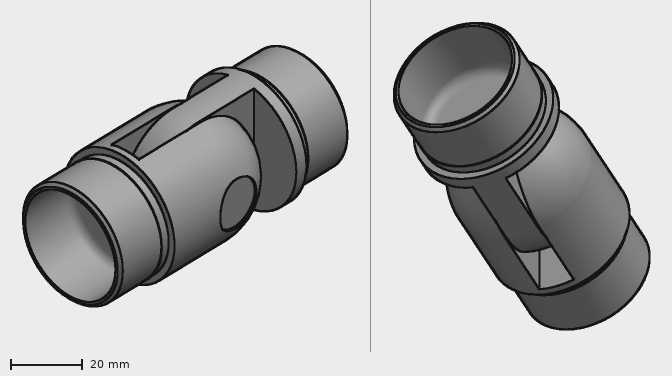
import cadquery as cq

TOTAL_LENGTH = 93.6
BODY_DIA = 42.4
SPIGOT_DIA = 38.3
RELIEF_DIA = 37.9
RELIEF_WIDTH = 3.0
SHOULDER_Y = 26.9
RIM_CHAMFER = 1.0

CUP_DIA = 34.5
CUP_DEPTH = 19.8
CUP_FILLET = 3.0

COLLAR_THICKNESS = 4.1
TONGUE_WIDTH = 9.9
SLOT_WIDTH = 10.5
SLOT_FLOOR_Y = 24.4

SPOTFACE_DIA = 16.5
SPOTFACE_DEPTH = 2.3

END_Y = TOTAL_LENGTH / 2
BODY_RADIUS = BODY_DIA / 2


def cylinder_along_y(diameter, y_start, y_end):
    """Solid cylinder on the Y axis between two Y positions, y_start < y_end."""
    return cq.Workplane("XZ", origin=(0, y_start, 0)).circle(diameter / 2).extrude(y_start - y_end)


def tube_spigot():
    """Cupped spigot on the +Y end, from the shoulder to the chamfered rim."""
    relief = cylinder_along_y(RELIEF_DIA, SHOULDER_Y, SHOULDER_Y + RELIEF_WIDTH)
    sleeve = (
        cylinder_along_y(SPIGOT_DIA, SHOULDER_Y + RELIEF_WIDTH, END_Y)
        .faces(">Y")
        .chamfer(RIM_CHAMFER)
    )
    return relief.union(sleeve)


def tube_cup():
    """Blind bore of the +Y spigot, with a rounded floor corner."""
    return cylinder_along_y(CUP_DIA, END_Y - CUP_DEPTH, END_Y).faces("<Y").edges().fillet(CUP_FILLET)


def mirrored_to_minus_y(shape):
    return shape.mirror("XZ")


def hinge_ball():
    return cq.Workplane("XY").sphere(BODY_RADIUS)


def make_fork():
    """Lower half: ball-nosed knuckle, slotted for the tongue, with a spigot on the -Y end."""
    slot_length = SLOT_FLOOR_Y + BODY_DIA
    slot = cq.Workplane("XY").box(SLOT_WIDTH, slot_length, BODY_DIA).translate(
        (0, slot_length / 2 - SLOT_FLOOR_Y, 0)
    )
    spotface = (
        cq.Workplane("YZ", origin=(BODY_RADIUS - SPOTFACE_DEPTH, 0, 0))
        .circle(SPOTFACE_DIA / 2)
        .extrude(BODY_RADIUS)
    )
    return (
        cylinder_along_y(BODY_DIA, -SHOULDER_Y, 0)
        .union(hinge_ball())
        .cut(slot)
        .cut(spotface)
        .union(mirrored_to_minus_y(tube_spigot()))
        .cut(mirrored_to_minus_y(tube_cup()))
    )


def make_tongue():
    """Upper half: collar with a ball-ended flat tongue, and a spigot on the +Y end."""
    collar = cylinder_along_y(BODY_DIA, SHOULDER_Y - COLLAR_THICKNESS, SHOULDER_Y)
    blade_slab = cq.Workplane("XY").box(TONGUE_WIDTH, TOTAL_LENGTH, BODY_DIA)
    blade = cylinder_along_y(BODY_DIA, 0, SHOULDER_Y).union(hinge_ball()).intersect(blade_slab)
    return collar.union(blade).union(tube_spigot()).cut(tube_cup())


fork = make_fork()
tongue = make_tongue()
result = cq.Compound.makeCompound([fork.val(), tongue.val()])